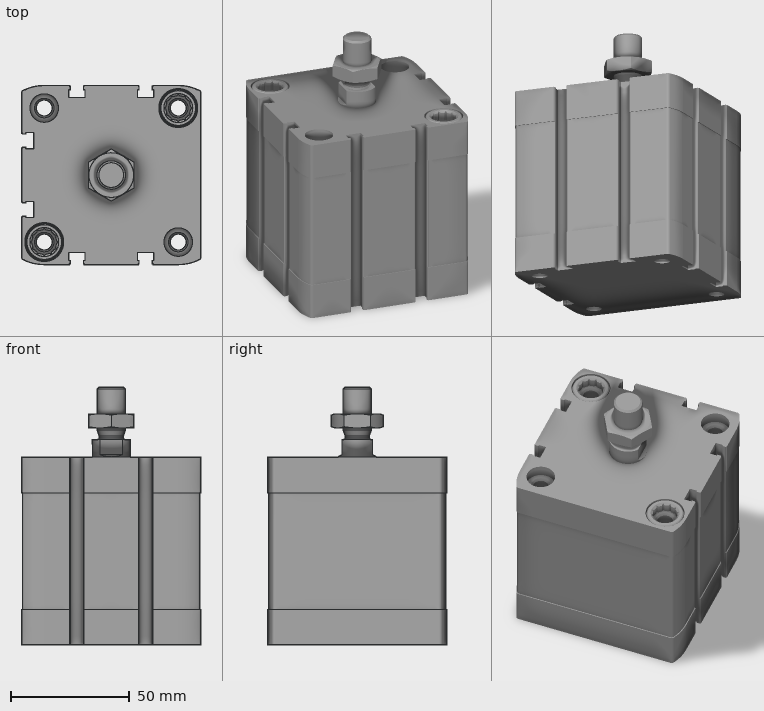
import cadquery as cq
import math


side = 75.5
half_side = side / 2
housing_height = 79.0
cap_height = 15.0
barrel_inset = 0.4
screw_spacing = 56.4
screw_offset = screw_spacing / 2
corner_radius = 20.0
corner_fillet = 1.3

slot_offset = 14.5
slot_mouth_width = 5.5
slot_width = 6.7
slot_depth = 5.1
slot_mouth_fillet = 0.35
slot_lip = 1.85

thread_hole_diameter = 6.65
thread_countersink_diameter = 8.2
plain_bore_diameter = 12.0
plain_bore_depth = 5.0

screw_bore_diameter = 16.4
screw_head_diameter = 15.5
screw_head_chamfer = 0.45
screw_groove_depth = 2.0
socket_mouth_diameter = 12.2
socket_tip_diameter = 11.6
socket_root_diameter = 10.4
socket_depth = 4.3
socket_squares = 3

rod_diameter = 16.0
rod_flat_width = 13.0
rod_flat_bottom = 80.1
flat_runout_bottom = 79.2
rod_shoulder = 86.4
rod_top = 108.5
thread_diameter = 12.0
thread_start = 90.5
thread_chamfer = 0.8
neck_diameter = 10.2
neck_bottom = 87.1
neck_top = 87.9
neck_foot_diameter = 11.4

nut_width = 19.0
nut_height = 6.0
nut_bottom = 91.3
nut_face_diameter = 18.8
nut_chamfer_angle = 20.0


def wall_profile(inset):
    """Square outline with flat corner arcs tangent to the Y walls."""
    wall = half_side - inset
    arc_run = wall - screw_offset
    arc_drop = corner_radius - math.sqrt(corner_radius**2 - arc_run**2)
    mid_angle = math.asin(arc_run / corner_radius) / 2
    mid_x = screw_offset + corner_radius * math.sin(mid_angle)
    mid_y = wall - corner_radius * (1 - math.cos(mid_angle))
    end_y = wall - arc_drop
    return (
        cq.Workplane("XY")
        .moveTo(-screw_offset, wall)
        .lineTo(screw_offset, wall)
        .threePointArc((mid_x, mid_y), (wall, end_y))
        .lineTo(wall, -end_y)
        .threePointArc((mid_x, -mid_y), (screw_offset, -wall))
        .lineTo(-screw_offset, -wall)
        .threePointArc((-mid_x, -mid_y), (-wall, -end_y))
        .lineTo(-wall, end_y)
        .threePointArc((-mid_x, mid_y), (-screw_offset, wall))
        .close()
    )


def sensor_slot(inset, height):
    """T-slot cutter at X = 0 in a -Y wall set in by the inset, with rounded mouth edges."""
    wall = inset - half_side
    mouth = slot_mouth_width / 2
    cavity = slot_width / 2
    rounded_mouth = mouth + slot_mouth_fillet
    lip_depth = slot_lip - half_side
    floor = slot_depth - half_side
    return (
        cq.Workplane("XY")
        .moveTo(-rounded_mouth, wall)
        .radiusArc((-mouth, wall + slot_mouth_fillet), slot_mouth_fillet)
        .lineTo(-mouth, lip_depth)
        .lineTo(-cavity, lip_depth)
        .lineTo(-cavity, floor)
        .lineTo(cavity, floor)
        .lineTo(cavity, lip_depth)
        .lineTo(mouth, lip_depth)
        .lineTo(mouth, wall + slot_mouth_fillet)
        .radiusArc((rounded_mouth, wall), slot_mouth_fillet)
        .close()
        .extrude(height)
    )


def slotted_block(inset, height, bottom):
    """Prism of the wall outline with blended corners and T-slots in three walls."""
    block = wall_profile(inset).extrude(height)
    block = block.edges("|Z").edges("<X or >X").fillet(corner_fillet)
    for turn in (0, -90, 180):
        for offset in (-slot_offset, slot_offset):
            slot = sensor_slot(inset, height).translate((offset, 0, 0))
            block = block.cut(slot.rotate((0, 0, 0), (0, 0, 1), turn))
    return block.translate((0, 0, bottom))


def cone_cutter(top_diameter, bottom_diameter, top):
    """45-degree countersink cutter on the Z axis."""
    depth = (top_diameter - bottom_diameter) / 2
    base = cq.Vector(0, 0, top - depth)
    return cq.Workplane(cq.Solid.makeCone(bottom_diameter / 2, top_diameter / 2, depth, base))


def threaded_hole(countersink_top):
    """Through hole with a countersink, on the Z axis."""
    hole = cq.Workplane("XY").circle(thread_hole_diameter / 2).extrude(countersink_top)
    return hole.union(cone_cutter(thread_countersink_diameter, thread_hole_diameter, countersink_top))


def plain_corner():
    """Cutter for a corner that has a counterbored threaded hole."""
    floor = housing_height - plain_bore_depth
    bore = cq.Workplane("XY").circle(plain_bore_diameter / 2).extrude(plain_bore_depth)
    return bore.translate((0, 0, floor)).union(threaded_hole(floor))


def screw_corner():
    """Cutter that leaves a flush socket screw head with a threaded hole inside it."""
    groove_floor = housing_height - screw_groove_depth
    socket_floor = housing_height - socket_depth
    head = (
        cq.Workplane("XY")
        .workplane(offset=groove_floor)
        .circle(screw_head_diameter / 2)
        .extrude(screw_groove_depth)
        .faces(">Z")
        .chamfer(screw_head_chamfer)
    )
    groove = (
        cq.Workplane("XY")
        .workplane(offset=groove_floor)
        .circle(screw_bore_diameter / 2)
        .extrude(screw_groove_depth)
        .cut(head)
    )
    socket = cq.Workplane("XY").circle(socket_root_diameter / 2).extrude(socket_depth)
    square_side = socket_tip_diameter / math.sqrt(2)
    for index in range(socket_squares):
        turn = 45 + index * 90 / socket_squares
        square = cq.Workplane("XY").rect(square_side, square_side).extrude(socket_depth)
        socket = socket.union(square.rotate((0, 0, 0), (0, 0, 1), turn))
    socket = socket.translate((0, 0, socket_floor))
    mouth = cone_cutter(socket_mouth_diameter, socket_root_diameter, housing_height)
    return groove.union(socket).union(mouth).union(threaded_hole(socket_floor))


def make_housing():
    """Barrel between two end caps, with sensor slots on three walls and four corner holes."""
    barrel_height = housing_height - 2 * cap_height
    body = slotted_block(0, cap_height, 0)
    body = body.union(slotted_block(barrel_inset, barrel_height, cap_height))
    body = body.union(slotted_block(0, cap_height, housing_height - cap_height))

    for sign in (-1, 1):
        body = body.cut(plain_corner().translate((sign * screw_offset, -sign * screw_offset, 0)))
        body = body.cut(screw_corner().translate((sign * screw_offset, sign * screw_offset, 0)))
    return body


def make_rod():
    """Turned piston rod standing on the housing, with two wrench flats facing -Y and +Y."""
    rod = (
        cq.Workplane("XZ")
        .moveTo(0, housing_height)
        .lineTo(rod_diameter / 2, housing_height)
        .lineTo(rod_diameter / 2, rod_shoulder)
        .lineTo(neck_foot_diameter / 2, rod_shoulder)
        .lineTo(neck_diameter / 2, neck_bottom)
        .lineTo(neck_diameter / 2, neck_top)
        .lineTo(thread_diameter / 2, thread_start)
        .lineTo(thread_diameter / 2, rod_top - thread_chamfer)
        .lineTo(thread_diameter / 2 - thread_chamfer, rod_top)
        .lineTo(0, rod_top)
        .close()
        .revolve(360, (0, 0, 0), (0, 1, 0))
    )
    flat = rod_flat_width / 2
    outside = rod_diameter
    for sign in (-1, 1):
        cutter = (
            cq.Workplane("YZ")
            .moveTo(sign * flat, rod_shoulder)
            .lineTo(sign * flat, rod_flat_bottom)
            .lineTo(sign * rod_diameter / 2, flat_runout_bottom)
            .lineTo(sign * outside, flat_runout_bottom)
            .lineTo(sign * outside, rod_shoulder)
            .close()
            .extrude(rod_diameter, both=True)
        )
        rod = rod.cut(cutter)
    return rod


def make_nut():
    """Hexagon nut with points toward -Y and +Y and chamfered points on both faces."""
    corner_diameter = nut_width / math.cos(math.pi / 6)
    corner_reach = (corner_diameter - nut_face_diameter) / 2
    corner_drop = corner_reach * math.tan(math.radians(nut_chamfer_angle))
    hexagon = (
        cq.Workplane("XY")
        .polygon(6, corner_diameter)
        .extrude(nut_height)
        .rotate((0, 0, 0), (0, 0, 1), 30)
    )
    turned_blank = (
        cq.Workplane("XY")
        .circle(corner_diameter / 2)
        .extrude(nut_height)
        .faces("<Z or >Z")
        .chamfer(corner_drop, corner_reach)
    )
    thread = cq.Workplane("XY").circle(thread_diameter / 2).extrude(nut_height)
    return hexagon.intersect(turned_blank).cut(thread).translate((0, 0, nut_bottom))


housing = make_housing()
rod = make_rod()
nut = make_nut()

result = cq.Compound.makeCompound([housing.val(), rod.val(), nut.val()])